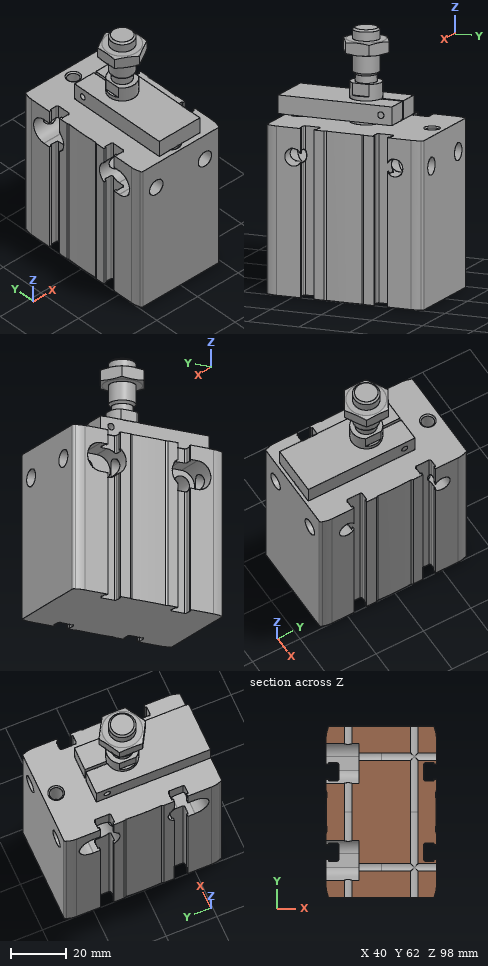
import cadquery as cq
import math


body_width = 40.0
body_depth = 62.0
body_height = 63.0
half_width = body_width / 2
half_depth = body_depth / 2

side_arc_start_y = 26.6
side_arc_end_y = 30.2
side_arc_inset = 0.7
end_face_half_width = 18.5

recess_half_depth = 7.8
recess_floor_half_depth = 7.0
recess_edge_inset = 0.3
recess_middle_inset = 0.1

slot_y = 14.5
slot_opening = 5.3
slot_inner_width = 6.5
slot_lip = 1.1
slot_depth = 4.6
slot_floor_radius = 0.7

mount_diameter = 6.6
mount_z = body_height - 11.0
end_mount_x = 12.0
side_mount_y = 20.0
counterbore_width = 11.0
counterbore_stretch = 5.0
counterbore_depth = 12.0

port_y = 26.0
port_diameter = 4.9
port_mouth_diameter = 6.0
port_depth = 10.0
drill_tip_angle = 118

guide_y = -26.1
guide_hole_diameter = 6.6
guide_mouth_diameter = 7.4
guide_hole_depth = 7.0

plate_width = 20.0
plate_thickness = 7.0
plate_gap = 2.0
plate_back_y = 14.5
plate_front_y = -30.5
plate_bottom_z = body_height + plate_gap
plate_top_z = plate_bottom_z + plate_thickness
clamp_slot_width = 1.0
guide_pin_diameter = 5.0

screw_diameter = 2.45
screw_y = 10.2
screw_z = plate_bottom_z + plate_thickness / 2
screw_tip_recess = 5.0

rod_diameter = 12.0
rod_top_z = 98.0
collar_top_z = 78.0
flat_bottom_z = 73.5
flat_width = 10.0
neck_diameter = 8.0
neck_top_z = 80.8
thread_diameter = 10.0
thread_tip_diameter = 8.5

nut_flats = 15.9
nut_height = 5.0
nut_bottom_z = 88.9
nut_face_diameter = 14.7
nut_chamfer_drop = 0.5
nut_corner_radius = nut_flats / 2 / math.cos(math.radians(30))


def cylinder(diameter, bottom_z, top_z, y=0):
    """Upright cylinder between two heights."""
    disc = cq.Workplane("XY", origin=(0, y, bottom_z)).circle(diameter / 2)
    return disc.extrude(top_z - bottom_z)


def box(x_range, y_range, z_range):
    """Box between pairs of coordinates."""
    size = [high - low for low, high in (x_range, y_range, z_range)]
    return cq.Workplane("XY", origin=(x_range[0], y_range[0], z_range[0])).box(*size, centered=False)


def make_profile_half():
    """The +X half of the housing extrusion, before its slots and holes."""
    side_arc_end_x = half_width - side_arc_inset
    recess_middle_x = half_width - recess_middle_inset
    floor_edge_x = half_width - recess_edge_inset
    diagonal = math.sqrt(0.5)
    corner_mid_x = end_face_half_width + (side_arc_end_x - end_face_half_width) * diagonal
    corner_mid_y = side_arc_end_y + (half_depth - side_arc_end_y) * diagonal
    side_arc_rise = side_arc_end_y - side_arc_start_y
    side_arc_radius = (side_arc_inset**2 + side_arc_rise**2) / (2 * side_arc_inset)
    side_arc_half_angle = math.atan2(side_arc_inset, side_arc_rise)
    side_mid_x = half_width - side_arc_radius * (1 - math.cos(side_arc_half_angle))
    side_mid_y = side_arc_start_y + side_arc_radius * math.sin(side_arc_half_angle)
    outline = (
        cq.Workplane("XY")
        .moveTo(0, -half_depth)
        .lineTo(end_face_half_width, -half_depth)
        .threePointArc((corner_mid_x, -corner_mid_y), (side_arc_end_x, -side_arc_end_y))
        .threePointArc((side_mid_x, -side_mid_y), (half_width, -side_arc_start_y))
        .lineTo(half_width, -recess_half_depth)
        .lineTo(floor_edge_x, -recess_floor_half_depth)
        .threePointArc((recess_middle_x, 0), (floor_edge_x, recess_floor_half_depth))
        .lineTo(half_width, recess_half_depth)
        .lineTo(half_width, side_arc_start_y)
        .threePointArc((side_mid_x, side_mid_y), (side_arc_end_x, side_arc_end_y))
        .threePointArc((corner_mid_x, corner_mid_y), (end_face_half_width, half_depth))
        .lineTo(0, half_depth)
        .close()
    )
    return outline.extrude(body_height)


def make_t_slots():
    """Four T-slots running the full height of the housing sides."""
    slots = cq.Workplane("XY")
    for side in (-1, 1):
        for y in (-slot_y, slot_y):
            opening = cq.Workplane("XY").center(side * half_width, y)
            slots = slots.add(opening.rect(2 * slot_depth, slot_opening).extrude(body_height))
            inner_x = side * (half_width - (slot_lip + slot_depth) / 2)
            inner = cq.Workplane("XY").center(inner_x, y)
            inner = inner.rect(slot_depth - slot_lip, slot_inner_width).extrude(body_height)
            floor_side = "<X" if side > 0 else ">X"
            slots = slots.add(inner.faces(floor_side).edges("|Z").fillet(slot_floor_radius))
    return slots.combine()


def make_mounting_holes():
    """Two through holes along Y, and two along X with long counterbores on the -X side."""
    end_holes = (
        cq.Workplane("XZ")
        .pushPoints([(-end_mount_x, mount_z), (end_mount_x, mount_z)])
        .circle(mount_diameter / 2)
        .extrude(half_depth, both=True)
    )
    side_holes = (
        cq.Workplane("YZ")
        .pushPoints([(-side_mount_y, mount_z), (side_mount_y, mount_z)])
        .circle(mount_diameter / 2)
        .extrude(half_width, both=True)
    )
    counterbore_y = side_mount_y - counterbore_stretch / 2
    counterbores = (
        cq.Workplane("YZ", origin=(-half_width, 0, 0))
        .pushPoints([(-counterbore_y, mount_z), (counterbore_y, mount_z)])
        .slot2D(counterbore_width + counterbore_stretch, counterbore_width)
        .extrude(counterbore_depth)
    )
    return end_holes.union(side_holes).union(counterbores)


def make_blind_hole(diameter, mouth_diameter, depth, y, tip_length=0):
    """Blind hole down from the top face, with a 45 degree mouth and an optional conical end."""
    radius = diameter / 2
    mouth_radius = mouth_diameter / 2
    outline = (
        cq.Workplane("XZ", origin=(0, y, body_height))
        .lineTo(mouth_radius, 0)
        .lineTo(radius, radius - mouth_radius)
        .lineTo(radius, -depth)
        .lineTo(0, -depth - tip_length)
        .close()
    )
    return outline.revolve(360, (0, 0, 0), (0, 1, 0))


def make_port():
    """Air port with a drilled conical end."""
    tip_length = port_diameter / 2 / math.tan(math.radians(drill_tip_angle / 2))
    return make_blind_hole(port_diameter, port_mouth_diameter, port_depth, port_y, tip_length)


def make_guide_hole():
    """Flat-bottomed hole that the guide pin slides in."""
    return make_blind_hole(guide_hole_diameter, guide_mouth_diameter, guide_hole_depth, guide_y)


def make_housing():
    half = make_profile_half()
    block = half.union(half.mirror("YZ")).clean()
    return block.cut(make_t_slots()).cut(make_mounting_holes()).cut(make_port()).cut(make_guide_hole())


def make_plate():
    """Plate clamped on the rod by a split end, with its guide pin underneath."""
    half_plate = plate_width / 2
    z_range = (plate_bottom_z, plate_top_z)
    plate = box((-half_plate, half_plate), (plate_front_y, plate_back_y), z_range)
    clamp_slot = box((-clamp_slot_width / 2, clamp_slot_width / 2), (0, plate_back_y), z_range)
    screw_hole = (
        cq.Workplane("YZ").center(screw_y, screw_z).circle(screw_diameter / 2).extrude(half_plate, both=True)
    )
    rod_hole = cylinder(rod_diameter, plate_bottom_z, plate_top_z)
    guide_pin = cylinder(guide_pin_diameter, body_height - guide_hole_depth, plate_bottom_z, y=guide_y)
    return plate.cut(rod_hole).cut(clamp_slot).cut(screw_hole).union(guide_pin)


def make_clamp_screw():
    """Screw across the split; its tip stops short of the -X face of the plate."""
    tip_x = screw_tip_recess - plate_width / 2
    shank = cq.Workplane("YZ", origin=(tip_x, screw_y, screw_z)).circle(screw_diameter / 2)
    return shank.extrude(plate_width - screw_tip_recess)


def make_rod():
    rod_radius = rod_diameter / 2
    neck_radius = neck_diameter / 2
    thread_radius = thread_diameter / 2
    tip_radius = thread_tip_diameter / 2
    rod = (
        cq.Workplane("XZ")
        .moveTo(0, body_height)
        .lineTo(rod_radius, body_height)
        .lineTo(rod_radius, collar_top_z)
        .lineTo(neck_radius, collar_top_z)
        .lineTo(neck_radius, neck_top_z)
        .lineTo(thread_radius, neck_top_z + thread_radius - neck_radius)
        .lineTo(thread_radius, rod_top_z - thread_radius + tip_radius)
        .lineTo(tip_radius, rod_top_z)
        .lineTo(0, rod_top_z)
        .close()
        .revolve(360, (0, 0, 0), (0, 1, 0))
    )
    for side in (-1, 1):
        x_range = sorted((side * flat_width / 2, side * rod_diameter))
        flat = box(x_range, (-rod_radius, rod_radius), (flat_bottom_z, collar_top_z))
        rod = rod.cut(flat)
    return rod


def make_nut():
    """Hexagon nut with two flats square to X and both ends chamfered to a round face."""
    nut_top_z = nut_bottom_z + nut_height
    face_radius = nut_face_diameter / 2
    hexagon = (
        cq.Workplane("XY", origin=(0, 0, nut_bottom_z))
        .transformed(rotate=(0, 0, 90))
        .polygon(6, 2 * nut_corner_radius)
        .extrude(nut_height)
    )
    chamfer_envelope = (
        cq.Workplane("XZ")
        .moveTo(0, nut_bottom_z)
        .lineTo(face_radius, nut_bottom_z)
        .lineTo(nut_corner_radius, nut_bottom_z + nut_chamfer_drop)
        .lineTo(nut_corner_radius, nut_top_z - nut_chamfer_drop)
        .lineTo(face_radius, nut_top_z)
        .lineTo(0, nut_top_z)
        .close()
        .revolve(360, (0, 0, 0), (0, 1, 0))
    )
    thread_hole = cylinder(thread_diameter, nut_bottom_z, nut_top_z)
    return hexagon.intersect(chamfer_envelope).cut(thread_hole)


housing = make_housing()
plate = make_plate()
clamp_screw = make_clamp_screw()
rod = make_rod()
nut = make_nut()

bodies = [housing, plate, clamp_screw, rod, nut]
result = cq.Compound.makeCompound([body.solids().val() for body in bodies])